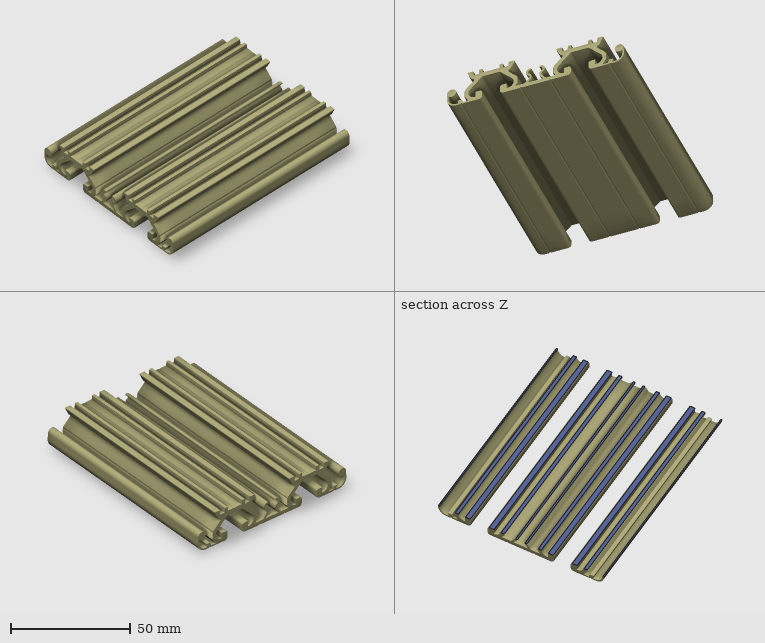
import cadquery as cq
import math

length = 100.0
half_width = 40.0
height = 16.5

floor_thickness = 1.9
flange_thickness = 0.8
overlap = 0.5

channel_x = 20.0
wall_center_x = 7.3
wall_inner_radius = 2.9
wall_center_z = floor_thickness + wall_inner_radius
ceiling_z = 12.3
neck_x = 7.8
neck_top_z = 12.0
neck_bottom_z = 11.1
shoulder_x = 8.8
shoulder_z = 12.4

teeth_count = 6
tooth_pitch = 0.57
tooth_depth = 0.4
tooth_root_x = 11.7
teeth_top_z = 6.6
elbow_x = 11.6
wall_foot_x = 10.4

mouth_half_width = 4.0
lip_width = 3.0
lip_top_z = 4.6
lip_top_radius = 1.0
lip_bottom_radius = 1.5

roof_z = 14.5
groove_z = 14.2
inner_fin_base_x = 3.7
inner_fin_base_width = 1.8
fin_taper = 0.2
outer_fin_base_x = 7.8
outer_fin_outer_x = 10.6
outer_fin_nose_height = 0.7
outer_fin_nose_width = 0.3
roof_mark_width = 1.0
roof_mark_depth = 0.2

curl_radius = 4.2
curl_center_x = half_width - curl_radius
bead_radius = 2.0
bead_x = 37.8
bead_z = 7.5

ridge_inner_x = 33.3
ridge_outer_x = 35.1
ridge_base_inner_x = 32.7
ridge_waist_x = 34.8
ridge_waist_z = 1.5
ridge_lip_z = 1.9
ridge_top_z = 2.4

clip_thickness = 1.0
clip_radius = 1.5
clip_upper_x = 2.3
clip_upper_z = 7.6
clip_lower_x = 3.7
clip_leg_tilt = 36
clip_foot_fillet = 1.5

mark_positions = (6.6, 33.5)
mark_width = 1.0
mark_depth = 0.4


def polar(center, radius, degrees):
    """Point on a circle, counted from the +X direction."""
    angle = math.radians(degrees)
    return (center[0] + radius * math.cos(angle), center[1] + radius * math.sin(angle))


def section():
    """Sketch plane for cross sections: local x is X and local y is Z."""
    return cq.Workplane("XZ", origin=(0, length / 2, 0))


def bar(outline):
    """Full-length bar with the given corner points."""
    return section().polyline(outline).close().extrude(length)


def wall_teeth():
    """Points down the toothed outer face, valley to valley."""
    points = [(tooth_root_x, teeth_top_z)]
    for tooth in range(teeth_count):
        tip_z = teeth_top_z - (tooth + 0.5) * tooth_pitch
        points.append((tooth_root_x + tooth_depth, tip_z))
        points.append((tooth_root_x, tip_z - tooth_pitch / 2))
    return points


def half_channel():
    """Right half of the channel: fins, sloped roof, toothed wall and lip."""
    center = (wall_center_x, wall_center_z)
    inner_tangent = polar(center, wall_inner_radius, 45)
    ceiling_half_width = sum(inner_tangent) - ceiling_z
    lip_outer_x = mouth_half_width + lip_width
    inner_fin_end_x = inner_fin_base_x + inner_fin_base_width
    nose_start = (outer_fin_outer_x - outer_fin_nose_width, height)
    nose_middle = (outer_fin_outer_x, height - outer_fin_nose_height / 2)
    nose_foot = (nose_start[0] + outer_fin_nose_width / 2, height - outer_fin_nose_height)
    fins = [
        (0, roof_z - roof_mark_depth),
        (roof_mark_width / 2, roof_z),
        (inner_fin_base_x, roof_z),
        (inner_fin_base_x + fin_taper, height),
        (inner_fin_end_x - fin_taper, height),
        (inner_fin_end_x, groove_z),
        (outer_fin_base_x, groove_z),
        (outer_fin_base_x + fin_taper, height),
        nose_start,
    ]
    outer_face = [
        (shoulder_x, shoulder_z),
        (neck_x, neck_top_z),
        (neck_x, neck_bottom_z),
        (elbow_x, neck_bottom_z - (elbow_x - neck_x)),
        *wall_teeth(),
        (wall_foot_x, flange_thickness),
        (wall_foot_x, 0),
        (mouth_half_width + lip_bottom_radius, 0),
    ]
    return (
        section()
        .moveTo(0, ceiling_z)
        .polyline(fins, includeCurrent=True)
        .threePointArc(nose_middle, nose_foot)
        .polyline(outer_face, includeCurrent=True)
        .radiusArc((mouth_half_width, lip_bottom_radius), lip_bottom_radius)
        .lineTo(mouth_half_width, lip_top_z - lip_top_radius)
        .radiusArc((mouth_half_width + lip_top_radius, lip_top_z), lip_top_radius)
        .lineTo(lip_outer_x, lip_top_z)
        .lineTo(lip_outer_x, floor_thickness)
        .lineTo(wall_center_x, floor_thickness)
        .threePointArc(polar(center, wall_inner_radius, 0), inner_tangent)
        .lineTo(ceiling_half_width, ceiling_z)
        .close()
        .extrude(length)
    )


def curled_edge():
    """Outer flange, quarter-round curl and the bead it carries."""
    flange_start_x = channel_x + wall_center_x
    center = (curl_center_x, curl_radius)
    inner_radius = curl_radius - flange_thickness
    bead_outer_x = bead_x + bead_radius
    strip = (
        section()
        .moveTo(flange_start_x, 0)
        .lineTo(curl_center_x, 0)
        .threePointArc(polar(center, curl_radius, -45), polar(center, curl_radius, 0))
        .lineTo(bead_outer_x, bead_z)
        .lineTo(curl_center_x + inner_radius, bead_z)
        .lineTo(*polar(center, inner_radius, 0))
        .threePointArc(polar(center, inner_radius, -45), (curl_center_x, flange_thickness))
        .lineTo(flange_start_x, flange_thickness)
        .close()
        .extrude(length)
    )
    bead = section().center(bead_x, bead_z).circle(bead_radius).extrude(length)
    return strip.union(bead)


def flange_ridge():
    """Ridge with a sloped inner side and a small lip overhanging its outer side."""
    outline = [
        (ridge_base_inner_x, flange_thickness),
        (ridge_inner_x, ridge_top_z),
        (ridge_outer_x, ridge_top_z),
        (ridge_outer_x, ridge_lip_z),
        (ridge_waist_x, ridge_waist_z),
        (ridge_waist_x, flange_thickness - overlap),
        (ridge_base_inner_x, flange_thickness - overlap),
    ]
    return bar(outline)


def spring_clip():
    """S-shaped strip: a straight sloped leg, a bend outwards, a bend back and a round tip."""
    thin = clip_radius - clip_thickness / 2
    thick = clip_radius + clip_thickness / 2
    step_x = clip_lower_x - clip_upper_x
    step_z = math.sqrt((2 * clip_radius) ** 2 - step_x ** 2)
    upper = (clip_upper_x, clip_upper_z)
    lower = (clip_lower_x, clip_upper_z - step_z)
    joint_angle = math.degrees(math.atan2(step_z, -step_x))
    leg_angle = 180 + clip_leg_tilt
    leg_slope = math.tan(math.radians(clip_leg_tilt))
    upper_joint = joint_angle - 180
    upper_middle = (90 + upper_joint) / 2
    lower_middle = (joint_angle + leg_angle) / 2
    leg_inner = polar(lower, thick, leg_angle)
    leg_outer = polar(lower, thin, leg_angle)
    foot_z = floor_thickness - overlap
    inner_foot_x = leg_inner[0] + (leg_inner[1] - foot_z) * leg_slope
    corner = (leg_outer[0] + (leg_outer[1] - floor_thickness) * leg_slope, floor_thickness)
    fillet_reach = clip_foot_fillet * math.tan(math.radians(90 - clip_leg_tilt) / 2)
    fillet_top = polar(corner, fillet_reach, 90 + clip_leg_tilt)
    fillet_end_x = corner[0] + fillet_reach
    return (
        section()
        .moveTo(inner_foot_x, foot_z)
        .lineTo(*leg_inner)
        .threePointArc(polar(lower, thick, lower_middle), polar(lower, thick, joint_angle))
        .threePointArc(polar(upper, thin, upper_middle), polar(upper, thin, 90))
        .threePointArc(
            (clip_upper_x - clip_thickness / 2, clip_upper_z + clip_radius),
            polar(upper, thick, 90),
        )
        .threePointArc(polar(upper, thick, upper_middle), polar(upper, thick, upper_joint))
        .threePointArc(polar(lower, thin, lower_middle), leg_outer)
        .lineTo(*fillet_top)
        .radiusArc((fillet_end_x, floor_thickness), -clip_foot_fillet)
        .lineTo(fillet_end_x, foot_z)
        .close()
        .extrude(length)
    )


def underside_mark(x):
    """V-shaped cutter for one mark."""
    outline = [(x - mark_width / 2, 0), (x, mark_depth), (x + mark_width / 2, 0)]
    return bar(outline)


right_half_channel = half_channel()
channel = right_half_channel.union(right_half_channel.mirror("YZ")).translate((channel_x, 0, 0))
floor_end_x = channel_x - wall_center_x
floor = bar([(0, 0), (floor_end_x, 0), (floor_end_x, floor_thickness), (0, floor_thickness)])

half = channel.union(floor).union(curled_edge()).union(flange_ridge()).union(spring_clip())
for mark_x in mark_positions:
    half = half.cut(underside_mark(mark_x))

result = half.union(half.mirror("YZ")).clean()